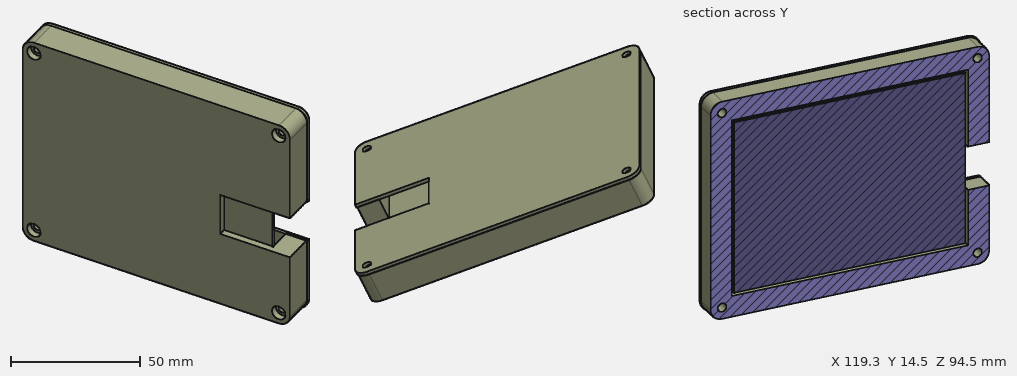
import cadquery as cq
OVERALL_X = 119.3
OVERALL_Y = 14.5
OVERALL_Z = 94.5

LID_OVERHANG = 0.3
LID_THICKNESS = 1.5

HOUSING_X = OVERALL_X - LID_OVERHANG
HOUSING_Y = OVERALL_Y - LID_THICKNESS
HOUSING_Z = OVERALL_Z - LID_OVERHANG
CORNER_RADIUS = 5.0

SCREW_DIAMETER = 3.5
COUNTERBORE_DIAMETER = 6.0
COUNTERBORE_DEPTH = 3.0
SCREW_SPACING_X = HOUSING_X - 2 * CORNER_RADIUS
SCREW_SPACING_Z = HOUSING_Z - 2 * CORNER_RADIUS

NOTCH_LENGTH = 31.0
NOTCH_HEIGHT = 18.5
NOTCH_CENTER_Z = -4.7
NOTCH_LEFT_X = HOUSING_X / 2 - NOTCH_LENGTH

FRONT_WALL = 3.0
SIDE_WALL = 9.2
CAVITY_X = HOUSING_X - 2 * SIDE_WALL
CAVITY_Y = HOUSING_Y - FRONT_WALL
CAVITY_Z = HOUSING_Z - 2 * SIDE_WALL

BOARD_CLEARANCE = 1.0
BOARD_X = CAVITY_X - 2 * BOARD_CLEARANCE
BOARD_Y = 1.5
BOARD_Z = CAVITY_Z - 2 * BOARD_CLEARANCE


def block(size_x, size_y, size_z):
    """Box centered on X and Z, with its front face at Y = 0."""
    return cq.Workplane("XY").box(size_x, size_y, size_z, centered=(True, False, True))


def rounded_plate(size_x, size_y, size_z):
    """Block with the corners of its XZ outline rounded."""
    return block(size_x, size_y, size_z).edges("|Y").fillet(CORNER_RADIUS)


def screw_bores(diameter, depth):
    """Four cylinders along Y from Y = 0, one at each screw position."""
    return (
        cq.Workplane("XZ")
        .rect(SCREW_SPACING_X, SCREW_SPACING_Z, forConstruction=True)
        .vertices()
        .circle(diameter / 2)
        .extrude(-depth)
    )


def edge_notch(depth):
    """Block that removes the notch and runs out past the +X edge."""
    run_out = 2 * LID_OVERHANG
    length = NOTCH_LENGTH + run_out
    return block(length, depth, NOTCH_HEIGHT).translate((NOTCH_LEFT_X + length / 2, 0, NOTCH_CENTER_Z))


def make_housing():
    """Front wall and thick rim around an open-backed cavity."""
    cavity = block(CAVITY_X, CAVITY_Y, CAVITY_Z).translate((0, FRONT_WALL, 0))
    return (
        rounded_plate(HOUSING_X, HOUSING_Y, HOUSING_Z)
        .cut(cavity)
        .cut(edge_notch(HOUSING_Y))
        .cut(screw_bores(SCREW_DIAMETER, HOUSING_Y))
        .cut(screw_bores(COUNTERBORE_DIAMETER, COUNTERBORE_DEPTH))
    )


def make_lid():
    """Back plate whose notch and holes are offset from those of the housing by the overhang."""
    offset = (LID_OVERHANG, 0, -LID_OVERHANG)
    plate = rounded_plate(OVERALL_X, LID_THICKNESS, OVERALL_Z).translate((LID_OVERHANG / 2, 0, -LID_OVERHANG / 2))
    return (
        plate.cut(edge_notch(LID_THICKNESS).translate(offset))
        .cut(screw_bores(SCREW_DIAMETER, LID_THICKNESS).translate(offset))
        .translate((0, HOUSING_Y, 0))
    )


def make_board():
    """Plain board behind the front wall, visible through the notch."""
    return block(BOARD_X, BOARD_Y, BOARD_Z).translate((0, FRONT_WALL + BOARD_CLEARANCE, 0))


housing = make_housing()
lid = make_lid()
board = make_board()
result = cq.Compound.makeCompound([housing.val(), lid.val(), board.val()])